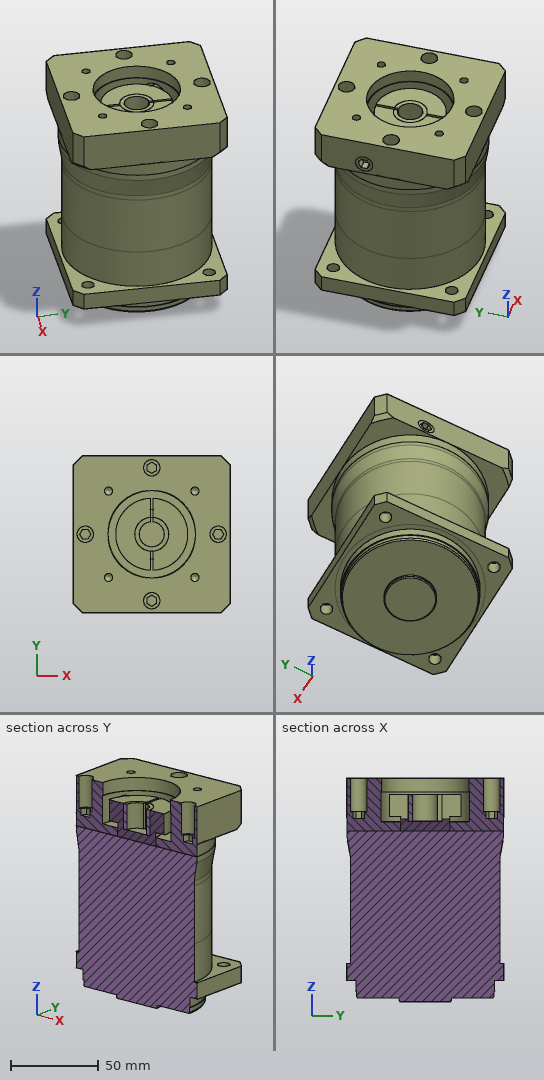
import cadquery as cq
import math

total_height = 128.0
side = 90.0
corner_chamfer = 5.4

nub_height = 2.0
nub_radius = 15.1
nub_chamfer = 0.6
pilot_chamfer_height = 1.0
pilot_chamfer_width = 0.6
pilot_step_z = 6.0
pilot_tip_radius = 39.4
pilot_radius = 40.0
flange_bottom_z = 12.0
flange_top_z = 22.0
barrel_radius = 43.0
stage_lines_z = (45.0, 80.0)
taper_bottom_z = 83.0
taper_top_z = 94.5
collar_radius = 44.9
flange_hole_offset = 35.3
flange_hole_diameter = 7.0

adapter_bottom_z = 97.9
block_bottom_z = 105.3
corner_cone_radius = 57.2
motor_pilot_radius = 25.0
motor_pilot_depth = 8.0
relief_radius = 25.3
pocket_floor_z = 103.0
motor_hole_offset = 24.7
motor_hole_diameter = 4.6
motor_hole_depth = 15.4
drill_tip_angle = 118.0
bolt_circle_radius = 38.0
bolt_bore_diameter = 9.3
bolt_bore_depth = 19.2
bolt_hex_flats = 5.5
bolt_hex_depth = 3.8

hub_top_z = total_height - 9.3
clamp_radius = 20.6
clamp_height = 12.8
hub_radius = 14.1
slit_width = 1.5
slit_depth = 14.1
bushing_radius = 9.7
bushing_bore_radius = 7.2
bushing_length = 15.4

plug_y = 14.1
plug_z = hub_top_z - clamp_height / 2
plug_radius = 5.1
plug_length = 10.2
plug_hex_flats = 6.0
plug_hex_depth = 5.1


def revolve_about_z(points):
    """Revolve (radius, z) points about Z, with the seam on the -X side."""
    profile = [(-radius, z) for radius, z in points]
    return cq.Workplane("XZ").polyline(profile).close().revolve(360, (0, 0), (0, 1), clean=False)


def cylinder(radius, bottom_z, top_z):
    return revolve_about_z([(0, bottom_z), (radius, bottom_z), (radius, top_z), (0, top_z)])


def square_block(bottom_z, top_z):
    """Square plate with its four upright corners cut off."""
    block = cq.Workplane("XY").workplane(offset=bottom_z).rect(side, side).extrude(top_z - bottom_z)
    return block.edges("|Z").chamfer(corner_chamfer)


def hexagon_prism(plane, across_flats, length):
    across_corners = across_flats * 2 / math.sqrt(3)
    return cq.Workplane(plane).polygon(6, across_corners).extrude(length)


def square_pattern(offset):
    return [(x, y) for x in (-offset, offset) for y in (-offset, offset)]


def make_gearbox():
    """Output nub, pilot, square flange, barrel and tapered collar in one piece."""
    body = revolve_about_z(
        [
            (0, 0),
            (nub_radius - nub_chamfer, 0),
            (nub_radius, nub_chamfer),
            (nub_radius, nub_height),
            (pilot_tip_radius - pilot_chamfer_width, nub_height),
            (pilot_tip_radius, nub_height + pilot_chamfer_height),
            (pilot_tip_radius, pilot_step_z),
            (pilot_radius, pilot_step_z),
            (pilot_radius, flange_bottom_z),
            (barrel_radius, flange_bottom_z),
            *[(barrel_radius, z) for z in stage_lines_z],
            (barrel_radius, taper_bottom_z),
            (collar_radius, taper_top_z),
            (collar_radius, adapter_bottom_z),
            (0, adapter_bottom_z),
        ]
    )
    flange = square_block(flange_bottom_z, flange_top_z)
    flange = (
        flange.faces(">Z").workplane(origin=(0, 0, flange_top_z))
        .pushPoints(square_pattern(flange_hole_offset)).hole(flange_hole_diameter)
    )
    return body.union(flange, clean=False)


def motor_hole_cutter():
    """Blind drilled hole with a conical tip, at the origin below the motor face."""
    radius = motor_hole_diameter / 2
    tip = radius / math.tan(math.radians(drill_tip_angle / 2))
    floor_z = total_height - motor_hole_depth
    return revolve_about_z(
        [(0, total_height), (radius, total_height), (radius, floor_z), (0, floor_z - tip)]
    )


def bolt_cutter():
    """Bolt bore with a hexagon socket in its floor, on the +Y side of the bolt circle."""
    floor_z = total_height - bolt_bore_depth
    bore = cylinder(bolt_bore_diameter / 2, floor_z, total_height)
    socket = hexagon_prism(cq.Plane((0, 0, floor_z)), bolt_hex_flats, -bolt_hex_depth)
    socket = socket.rotate((0, 0, 0), (0, 0, 1), 30)
    return bore.union(socket).translate((0, bolt_circle_radius, 0))


def make_adapter():
    """Square motor adapter with turned corners, a round pocket and its bolt holes."""
    turned = revolve_about_z(
        [
            (0, adapter_bottom_z),
            (collar_radius, adapter_bottom_z),
            (collar_radius, block_bottom_z),
            (corner_cone_radius, block_bottom_z),
            (corner_cone_radius + total_height - block_bottom_z, total_height),
            (0, total_height),
        ]
    )
    adapter = square_block(adapter_bottom_z, total_height).intersect(turned)
    pilot_floor_z = total_height - motor_pilot_depth
    adapter = adapter.cut(cylinder(motor_pilot_radius, pilot_floor_z, total_height))
    adapter = adapter.cut(cylinder(relief_radius, pocket_floor_z, pilot_floor_z))
    adapter = adapter.cut(cylinder(hub_radius, adapter_bottom_z, pocket_floor_z))
    for x, y in square_pattern(motor_hole_offset):
        adapter = adapter.cut(motor_hole_cutter().translate((x, y, 0)))
    for quarter in range(4):
        adapter = adapter.cut(bolt_cutter().rotate((0, 0, 0), (0, 0, 1), 90 * quarter))
    return adapter.cut(plug_rod(side / 2))


def plug_plane():
    """Plane on the -X side, its normal pointing into the adapter."""
    return cq.Plane(origin=(-side / 2, plug_y, plug_z), xDir=(0, 1, 0), normal=(1, 0, 0))


def plug_rod(length):
    return cq.Workplane(plug_plane()).circle(plug_radius).extrude(length)


def make_plug():
    """Round plug flush with the adapter side, with a hexagon socket."""
    return plug_rod(plug_length).cut(hexagon_prism(plug_plane(), plug_hex_flats, plug_hex_depth))


def slit_box(bottom_z, y_min, y_max):
    """Narrow upright slot on the YZ plane, open at the top of the hub."""
    height = hub_top_z - bottom_z
    return cq.Workplane("XY").box(slit_width, y_max - y_min, height).translate(
        (0, (y_min + y_max) / 2, bottom_z + height / 2)
    )


def make_clamp_hub():
    """Stepped hub, slit across its full diameter and bored for the bushing."""
    hub = cylinder(hub_radius, adapter_bottom_z, hub_top_z)
    hub = hub.union(cylinder(clamp_radius, hub_top_z - clamp_height, hub_top_z))
    hub = hub.cut(slit_box(hub_top_z - slit_depth, -clamp_radius, clamp_radius))
    return hub.cut(cylinder(bushing_radius, hub_top_z - bushing_length, hub_top_z))


def make_bushing():
    """Reducing sleeve with one slot on the +Y side."""
    bottom_z = hub_top_z - bushing_length
    bushing = cylinder(bushing_radius, bottom_z, hub_top_z)
    bushing = bushing.cut(cylinder(bushing_bore_radius, bottom_z, hub_top_z))
    return bushing.cut(slit_box(bottom_z, 0, bushing_radius))


gearbox = make_gearbox()
adapter = make_adapter()
clamp_hub = make_clamp_hub()
bushing = make_bushing()
plug = make_plug()

result = cq.Compound.makeCompound(
    [gearbox.val(), adapter.val(), clamp_hub.val(), bushing.val(), plug.val()]
)